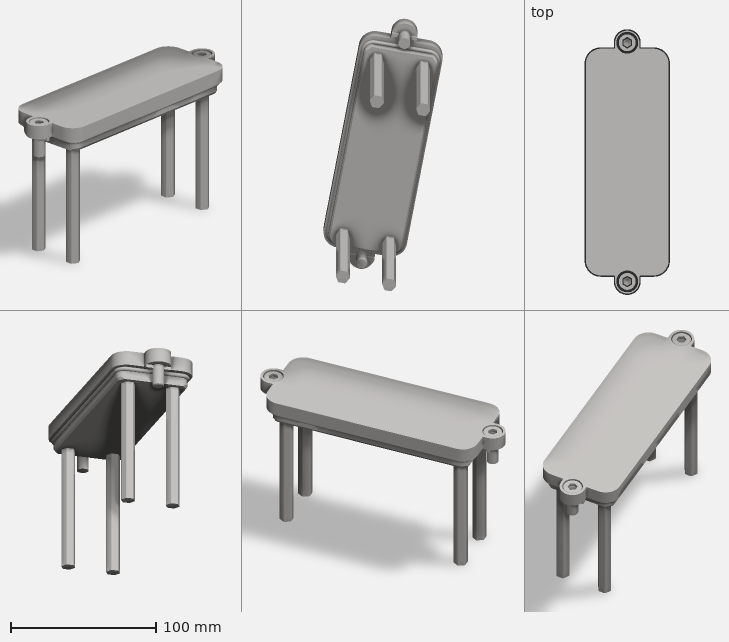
import cadquery as cq
import math

total_length = 182.0
total_height = 105.0
plate_width = 58.0
plate_length = 157.0
plate_thickness = 10.0
plate_corner_radius = 11.0

tab_radius = 9.0
tab_center_y = total_length / 2 - tab_radius
rib_width = 2.4
rib_height = 2.2

plug_width = 51.3
plug_length = 146.3
plug_height = 8.7
plug_corner_radius = 5.3
bevel_width = 1.1
bevel_height = 1.8
bevel_reach = 45.0

cord_radius = 1.5
gasket_width = 54.6
gasket_length = 151.5
gasket_corner_radius = 8.2

leg_across_flats = 8.7
leg_edge_radius = 1.1
leg_x = 16.2
leg_y = 65.2
leg_length = total_height - plate_thickness - plug_height

counterbore_radius = 7.1
head_radius = 6.5
head_edge_chamfer = 0.4
head_recess = 0.5
head_gap_depth = 8.0
shank_radius = 4.0
shank_end_chamfer = 0.5
socket_across_flats = 6.0
socket_depth = 2.2
socket_point_angle = 120.0
shank_lengths = {-1: 15.3, 1: 14.7}


def rounded_block(width, length, height, corner_radius):
    """Block that hangs down from its workplane Z = 0, with rounded vertical edges."""
    return cq.Workplane("XY").rect(width, length).extrude(-height).edges("|Z").fillet(corner_radius)


def hexagon_diameter(across_flats):
    return across_flats / math.cos(math.radians(30))


def tab_prism(side, height):
    """Round-ended tab outline that reaches into the plate, raised or sunk from Z = 0."""
    reach = tab_center_y - plate_length / 2 + tab_radius
    center_y = side * tab_center_y
    neck_y = side * (tab_center_y - reach / 2)
    end = cq.Workplane("XY").center(0, center_y).circle(tab_radius).extrude(height)
    neck = cq.Workplane("XY").center(0, neck_y).rect(2 * tab_radius, reach).extrude(height)
    return end.union(neck)


def make_tab(side):
    """Tab with a rib across its underside that follows the tab outline at both ends."""
    rib = (
        cq.Workplane("XY")
        .center(0, side * tab_center_y)
        .rect(2 * tab_radius, rib_width)
        .extrude(-rib_height)
        .intersect(tab_prism(side, -rib_height))
    )
    return tab_prism(side, plate_thickness).union(rib)


def make_plug():
    """Lower block, bevelled along the bottom of its long sides and part way round its corners."""
    block = rounded_block(plug_width, plug_length, plug_height, plug_corner_radius)
    turn = math.radians(bevel_reach)
    half_width = plug_width / 2
    arc_center_y = plug_length / 2 - plug_corner_radius
    bend_y = arc_center_y + plug_corner_radius * math.tan(turn / 2)
    end_y = plug_length / 2 + 2 * bevel_width
    end_x = half_width - (end_y - bend_y) * math.tan(turn)
    envelope = (
        cq.Workplane("XY")
        .polyline([
            (half_width, -bend_y),
            (half_width, bend_y),
            (end_x, end_y),
            (-end_x, end_y),
            (-half_width, bend_y),
            (-half_width, -bend_y),
            (-end_x, -end_y),
            (end_x, -end_y),
        ])
        .close()
        .extrude(bevel_height - plug_height)
    )
    bends = cq.selectors.BoxSelector(
        (-plate_width, -(bend_y + end_y) / 2, -plug_height),
        (plate_width, (bend_y + end_y) / 2, 0),
    )
    envelope = envelope.edges("|Z").edges(bends).fillet(plug_corner_radius)
    bevel_angle = math.degrees(math.atan(bevel_width / bevel_height))
    envelope = envelope.faces("<Z").wires().toPending().extrude(-bevel_height, taper=bevel_angle)
    return block.intersect(envelope)


def make_leg(x, y):
    """Hexagonal leg with rounded edges and corners pointing along X."""
    return (
        cq.Workplane("XY", origin=(x, y, -plug_height))
        .polygon(6, hexagon_diameter(leg_across_flats))
        .extrude(-leg_length)
        .edges("|Z")
        .fillet(leg_edge_radius)
    )


def make_head_gap(side):
    """Ring-shaped gap round the screw head, with the shallow recess above the head."""
    bore = (
        cq.Workplane("XY", origin=(0, side * tab_center_y, plate_thickness))
        .circle(counterbore_radius)
        .extrude(-head_gap_depth)
    )
    head = (
        cq.Workplane("XY", origin=(0, side * tab_center_y, plate_thickness - head_gap_depth))
        .circle(head_radius)
        .extrude(head_gap_depth - head_recess)
        .faces(">Z")
        .chamfer(head_edge_chamfer)
    )
    return bore.cut(head)


def make_socket(side):
    """Hexagon socket with a cone-shaped floor."""
    diameter = hexagon_diameter(socket_across_flats)
    point_depth = diameter / 2 / math.tan(math.radians(socket_point_angle / 2))
    top = (0, side * tab_center_y, plate_thickness - head_recess)
    hexagon = (
        cq.Workplane("XY", origin=top)
        .transformed(rotate=(0, 0, 30))
        .polygon(6, diameter)
        .extrude(-socket_depth - point_depth)
    )
    drill = (
        cq.Workplane("XZ")
        .polyline([
            (0, 0),
            (diameter / 2, 0),
            (diameter / 2, -socket_depth),
            (0, -socket_depth - point_depth),
        ])
        .close()
        .revolve()
        .translate(top)
    )
    return hexagon.intersect(drill)


def make_shank(side):
    """Screw shank below the tab; only the +Y shank has a chamfered end."""
    shank = (
        cq.Workplane("XY")
        .center(0, side * tab_center_y)
        .circle(shank_radius)
        .extrude(-shank_lengths[side])
    )
    if side > 0:
        shank = shank.faces("<Z").chamfer(shank_end_chamfer)
    return shank


def make_gasket():
    """Closed ring of round cord that touches the underside of the plate."""
    path = (
        rounded_block(
            gasket_width - 2 * cord_radius,
            gasket_length - 2 * cord_radius,
            cord_radius,
            gasket_corner_radius - cord_radius,
        )
        .faces("<Z")
        .wires()
    )
    start = (gasket_width / 2 - cord_radius, 0, -cord_radius)
    return cq.Workplane("XZ", origin=start).circle(cord_radius).sweep(path)


def make_lid(gasket):
    """Plate, tabs, plug, legs and screws in one piece, with a groove for the gasket."""
    lid = rounded_block(plate_width, plate_length, plate_thickness, plate_corner_radius)
    lid = lid.translate((0, 0, plate_thickness))
    lid = lid.union(make_plug())
    for side in (-1, 1):
        lid = lid.union(make_tab(side))
        lid = lid.union(make_shank(side))
        lid = lid.cut(make_head_gap(side))
        lid = lid.cut(make_socket(side))
        for x in (-leg_x, leg_x):
            lid = lid.union(make_leg(x, side * leg_y))
    return lid.cut(gasket)


gasket = make_gasket()
lid = make_lid(gasket)

result = cq.Compound.makeCompound([lid.solids().val(), gasket.val()])